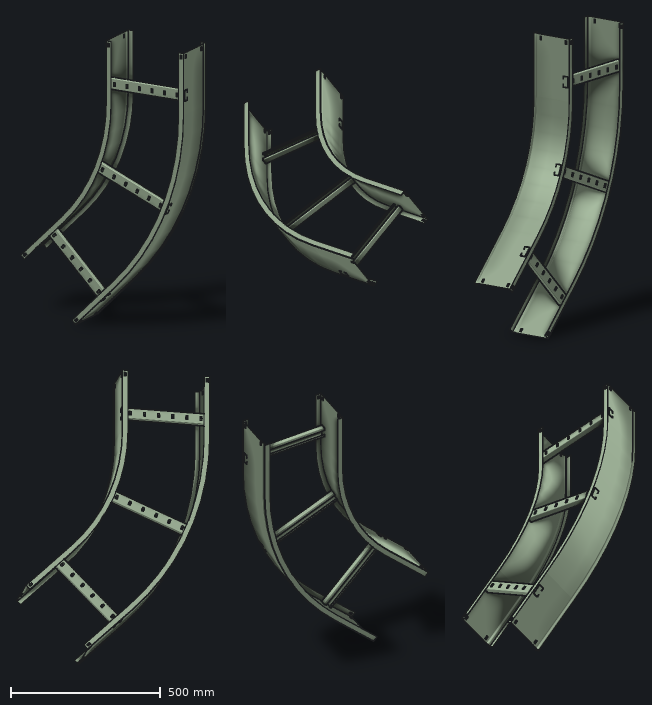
import cadquery as cq
import math

TOP_Z = 504.0
RIGHT_X = 315.0
RAIL_SPACING = 300.0
INNER_BEND_RADIUS = 602.0
OUTER_BEND_RADIUS = INNER_BEND_RADIUS + RAIL_SPACING
BEND_ANGLE = 45.0
STRAIGHT_LENGTH = 217.0
BEND_CENTRE = cq.Vector(RIGHT_X - OUTER_BEND_RADIUS, 0, TOP_Z - STRAIGHT_LENGTH)

SHEET = 1.5
RAIL_DEPTH = 150.0
FRONT_Y = -RAIL_DEPTH / 2
BACK_Y = RAIL_DEPTH / 2
FLANGE_WIDTH = 20.0
BEAD_DEPTH = 5.0
BEAD_FROM_BACK = 11.0
BEAD_Y = BACK_Y - BEAD_FROM_BACK
BEAD_FOLD_RADIUS = 3.0

SLOT_LENGTH = 12.0
SLOT_WIDTH = 6.6
SLOT_FROM_END = 14.0
WEB_SLOT_FROM_FRONT = 15.0
WEB_SLOT_FROM_BACK = 30.0
WEB_SLOT_YS = (FRONT_Y + WEB_SLOT_FROM_FRONT, BACK_Y - WEB_SLOT_FROM_BACK)

RUNG_HEIGHT = 39.0
RUNG_DEPTH = 21.0
RUNG_SETBACK = 6.0
RUNG_FRONT_Y = FRONT_Y + RUNG_SETBACK
RUNG_SHEET = 2.0
RUNG_FOLD_RADIUS = 2.5
RUNG_LIP = 11.0
RUNG_FROM_END = 150.0
RUNG_SLOT_COUNT = 6
RUNG_SLOT_PITCH = 48.0
RUNG_SLOT_WIDTH = 7.0
RUNG_SLOT_HEIGHT = 13.0

MIDDLE_RUNG_END_GAP = 1.0
MIDDLE_RUNG_LENGTH = RAIL_SPACING - 2 * MIDDLE_RUNG_END_GAP
MIDDLE_RUNG_ANGLE = 22.1

BEND_AXIS = ((0, 0, 0), (0, 1, 0))


def box_at(size_x, size_y, size_z, centre):
    return cq.Workplane("XY").box(size_x, size_y, size_z).translate(centre)


def rounded_outline(corners):
    """Closed outline through (x, y, radius) corners, each rounded with its own radius (0 stays sharp)."""
    outline = cq.Workplane("XY").moveTo(*corners[0][:2])
    points = [cq.Vector(x, y) for x, y, _ in corners]
    for i in range(1, len(corners)):
        to_before = (points[i - 1] - points[i]).normalized()
        to_after = (points[(i + 1) % len(points)] - points[i]).normalized()
        radius = corners[i][2]
        trim = radius / math.tan(to_before.getAngle(to_after) / 2)
        start = points[i] + to_before * trim
        end = points[i] + to_after * trim
        outline = outline.lineTo(start.x, start.y)
        if radius > 0:
            outline = outline.tangentArcPoint((end.x, end.y), relative=False)
    return outline.close()


def rail_section(face_radius, inward):
    """Rail section: X is the distance from the bend axis, `inward` (+1 or -1) points to the rungs."""
    inside_reach = BEAD_DEPTH + SHEET * (math.sqrt(2) - 1)
    inside_peak = BEAD_DEPTH + SHEET * math.sqrt(2)
    outward_skin = [
        (FLANGE_WIDTH, FRONT_Y, 0),
        (0, FRONT_Y, 0),
        (0, BEAD_Y - BEAD_DEPTH, BEAD_FOLD_RADIUS),
        (BEAD_DEPTH, BEAD_Y, BEAD_FOLD_RADIUS - SHEET),
        (0, BEAD_Y + BEAD_DEPTH, BEAD_FOLD_RADIUS),
        (0, BACK_Y, 0),
        (FLANGE_WIDTH, BACK_Y, 0),
    ]
    inward_skin = [
        (FLANGE_WIDTH, BACK_Y - SHEET, 0),
        (SHEET, BACK_Y - SHEET, 0),
        (SHEET, BEAD_Y + inside_reach, BEAD_FOLD_RADIUS - SHEET),
        (inside_peak, BEAD_Y, BEAD_FOLD_RADIUS),
        (SHEET, BEAD_Y - inside_reach, BEAD_FOLD_RADIUS - SHEET),
        (SHEET, FRONT_Y + SHEET, 0),
        (FLANGE_WIDTH, FRONT_Y + SHEET, 0),
    ]
    skins = outward_skin + inward_skin
    return rounded_outline([(face_radius + inward * depth, y, radius) for depth, y, radius in skins])


def end_slots(face_radius, inward):
    """Cutters for the slots at the upper end of a rail: two in the web, one in the front flange."""
    slot_z = STRAIGHT_LENGTH - SLOT_FROM_END
    cutter_depth = 4 * SHEET
    flange_slot_x = face_radius + inward * FLANGE_WIDTH / 2
    cutters = box_at(SLOT_WIDTH, cutter_depth, SLOT_LENGTH, (flange_slot_x, FRONT_Y, slot_z))
    for y in WEB_SLOT_YS:
        cutters = cutters.add(box_at(cutter_depth, SLOT_WIDTH, SLOT_LENGTH, (face_radius, y, slot_z)))
    return cutters.combine()


def to_lower_end(shape):
    """Mirror a shape about the middle of the bend, from the upper end of the part to the lower end."""
    return shape.mirror("XY").rotate(*BEND_AXIS, BEND_ANGLE)


def make_rail(face_radius, inward):
    upper_run = rail_section(face_radius, inward).extrude(STRAIGHT_LENGTH)
    bend = rail_section(face_radius, inward).revolve(BEND_ANGLE, *BEND_AXIS)
    rail = upper_run.union(bend).union(to_lower_end(upper_run))
    slots = end_slots(face_radius, inward)
    return rail.cut(slots).cut(to_lower_end(slots))


def make_rung(length):
    """Slotted lipped channel along X, midway between the rails and centred on Z = 0."""
    middle_x = INNER_BEND_RADIUS + RAIL_SPACING / 2
    middle_y = RUNG_FRONT_Y + RUNG_DEPTH / 2
    middle = (middle_x, middle_y, 0)
    outside = box_at(length, RUNG_DEPTH, RUNG_HEIGHT, middle).edges("|X").fillet(RUNG_FOLD_RADIUS)
    cavity = box_at(length, RUNG_DEPTH - 2 * RUNG_SHEET, RUNG_HEIGHT - 2 * RUNG_SHEET, middle)
    cavity = cavity.edges("|X").fillet(RUNG_FOLD_RADIUS - RUNG_SHEET)
    mouth_height = RUNG_HEIGHT - 2 * RUNG_LIP
    mouth = box_at(length, RUNG_DEPTH, mouth_height, (middle_x, RUNG_FRONT_Y + RUNG_DEPTH, 0))
    slots = (
        cq.Workplane("XZ", origin=middle)
        .rarray(RUNG_SLOT_PITCH, 10, RUNG_SLOT_COUNT, 1)
        .rect(RUNG_SLOT_WIDTH, RUNG_SLOT_HEIGHT)
        .extrude(RUNG_DEPTH)
    )
    return outside.cut(cavity).cut(mouth).cut(slots)


def make_rungs():
    upper = make_rung(RAIL_SPACING).translate((0, 0, STRAIGHT_LENGTH - RUNG_FROM_END))
    middle = make_rung(MIDDLE_RUNG_LENGTH).rotate(*BEND_AXIS, MIDDLE_RUNG_ANGLE)
    return [upper, middle, to_lower_end(upper)]


rungs = make_rungs()
rails = [make_rail(INNER_BEND_RADIUS, 1), make_rail(OUTER_BEND_RADIUS, -1)]
for rung in rungs:
    rails = [rail.cut(rung) for rail in rails]

bodies = rails + rungs
result = cq.Compound.makeCompound([body.val().moved(cq.Location(BEND_CENTRE)) for body in bodies])